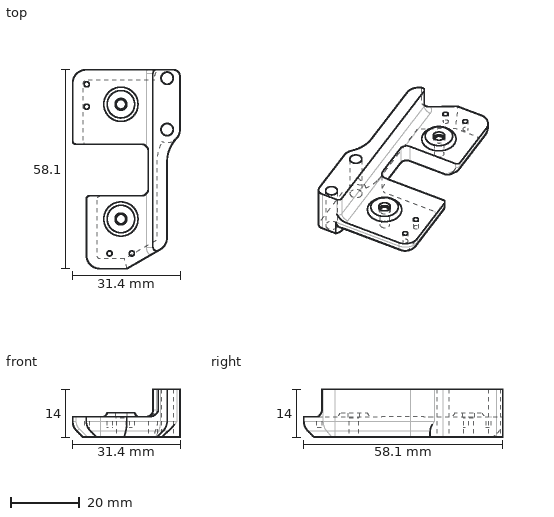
import cadquery as cq
import math

width = 31.35
length = 58.05
height = 14.0
plate_thickness = 6.0

lower_pad_left = 4.0
gap_bottom = 21.3
gap_top = 36.3
gap_right = 22.05
gap_inner_radius = 2.0
edge_radius = 1.0
corner_radius = 4.0
slant_start = 15.85
slant_angle = math.radians(30)
rail_right = 27.6
lug_corner_radius = 2.0
lug_radius = width - rail_right
neck_radius = 10.0

wall_left = 23.45
wall_end = 5.3
root_radius = 2.0

bevel = 3.0
bevel_blend_radius = 4.0
cutter_margin = 0.6
tolerance = 0.05

boss_x = 14.1
boss_ys = (14.5, 47.95)
boss_base_diameter = 10.0
boss_flank_radius = 2.0
boss_top_diameter = 8.0
boss_height = 1.15
bore_diameter = 2.8
counterbore_diameter = 3.4
counterbore_depth = 1.15
pin_diameter = 1.5
pin_depth = 3.0
pin_points = [(4.1, 53.75), (4.1, 47.25), (10.8, 4.45), (17.3, 4.45)]
mount_diameter = 3.5
lug_center = (rail_right, 40.6)
mount_points = [lug_center, (rail_right, 55.55)]


def on_circle(center, radius, angle):
    return (center[0] + radius * math.cos(angle), center[1] + radius * math.sin(angle))


neck_drop = math.sqrt((neck_radius + lug_radius) ** 2 - neck_radius**2)
neck_center = (rail_right + neck_radius, lug_center[1] - neck_drop)
lug_end_angle = -math.asin(neck_drop / (neck_radius + lug_radius))
lug_arc_end = on_circle(lug_center, lug_radius, lug_end_angle)
lug_arc_middle = on_circle(lug_center, lug_radius, lug_end_angle / 2)
neck_start = (rail_right, neck_center[1])
neck_middle = on_circle(neck_center, neck_radius, math.pi + lug_end_angle / 2)

slant_rise = (rail_right - slant_start) * math.tan(slant_angle)
slant_tangent = corner_radius * math.tan((math.pi / 2 - slant_angle) / 2)
slant_arc_start = (
    rail_right - slant_tangent * math.cos(slant_angle),
    slant_rise - slant_tangent * math.sin(slant_angle),
)
slant_arc_center = (rail_right - corner_radius, slant_rise + slant_tangent)
slant_arc_middle = on_circle(slant_arc_center, corner_radius, (slant_angle - math.pi / 2) / 2)
slant_arc_end = (rail_right, slant_arc_center[1])

upper_arc_center = (corner_radius, length - corner_radius)
upper_arc_middle = on_circle(upper_arc_center, corner_radius, 3 * math.pi / 4)
lower_arc_center = (lower_pad_left + corner_radius, corner_radius)
lower_arc_middle = on_circle(lower_arc_center, corner_radius, 5 * math.pi / 4)
lug_corner_center = (width - lug_corner_radius, length - lug_corner_radius)
lug_corner_middle = on_circle(lug_corner_center, lug_corner_radius, math.pi / 4)


def upper_rim():
    """Outer edge from the gap, round the upper left corner, to the lug corner."""
    return (
        cq.Workplane("XY")
        .moveTo(0, gap_top)
        .lineTo(0, upper_arc_center[1])
        .threePointArc(upper_arc_middle, (corner_radius, length))
        .lineTo(lug_corner_center[0], length)
    )


def lower_rim():
    """Outer edge from the gap, round the lower pad and up the rail, to the lug."""
    return (
        cq.Workplane("XY")
        .moveTo(lower_pad_left, gap_bottom)
        .lineTo(lower_pad_left, corner_radius)
        .threePointArc(lower_arc_middle, (lower_arc_center[0], 0))
        .lineTo(slant_start, 0)
        .lineTo(*slant_arc_start)
        .threePointArc(slant_arc_middle, slant_arc_end)
        .lineTo(*neck_start)
        .threePointArc(neck_middle, lug_arc_end)
    )


def outline_block(block_height):
    """Full plan outline, with the gap corners still sharp."""
    return (
        lower_rim()
        .threePointArc(lug_arc_middle, (width, lug_center[1]))
        .lineTo(width, lug_corner_center[1])
        .threePointArc(lug_corner_middle, (lug_corner_center[0], length))
        .lineTo(corner_radius, length)
        .threePointArc(upper_arc_middle, (0, upper_arc_center[1]))
        .lineTo(0, gap_top)
        .lineTo(gap_right, gap_top)
        .lineTo(gap_right, gap_bottom)
        .close()
        .extrude(block_height)
    )


def bevel_cutter(rim, start):
    """45 degree bevel blended into the side by an arc, swept along a rim."""
    blend_tangent = bevel_blend_radius * math.tan(math.pi / 8)
    blend_top = bevel + blend_tangent
    blend_run = bevel_blend_radius * (1 - math.cos(math.pi / 4))
    blend_middle = on_circle((bevel_blend_radius, blend_top), bevel_blend_radius, 9 * math.pi / 8)
    plane = cq.Plane(origin=(*start, 0), xDir=(1, 0, 0), normal=(0, -1, 0))
    profile = (
        cq.Workplane(plane)
        .moveTo(0, blend_top)
        .threePointArc(blend_middle, (blend_run, bevel - blend_run))
        .lineTo(bevel + cutter_margin, -cutter_margin)
        .lineTo(-cutter_margin, -cutter_margin)
        .lineTo(-cutter_margin, blend_top)
        .close()
    )
    return profile.sweep(rim, transition="right")


def upright_wall():
    """Wall over the plate with a concave root, trimmed later by the outline."""
    overrun = corner_radius
    wall = (
        cq.Workplane("XY", origin=(0, 0, plate_thickness))
        .moveTo(wall_left, wall_end)
        .lineTo(width + overrun, wall_end)
        .lineTo(width + overrun, length)
        .lineTo(wall_left, length)
        .close()
        .extrude(height - plate_thickness)
        .edges("|Z and <X")
        .fillet(edge_radius)
    )
    floor = cq.Workplane("XY").box(
        width + 2 * overrun, length + 2 * overrun, plate_thickness, centered=False
    ).translate((0, -overrun, 0))
    root = cq.selectors.BoxSelector(
        (wall_left - edge_radius, wall_end - edge_radius, plate_thickness - edge_radius),
        (width, length + edge_radius, plate_thickness + edge_radius),
    )
    return floor.union(wall).edges(root).fillet(root_radius)


def boss(y):
    """Raised round seat with a slightly hollow conical flank."""
    base_radius = boss_base_diameter / 2
    top_radius = boss_top_diameter / 2
    flank_top = (top_radius, boss_height)
    return (
        cq.Workplane("XZ", origin=(boss_x, y, plate_thickness))
        .lineTo(base_radius, 0)
        .radiusArc(flank_top, boss_flank_radius)
        .lineTo(0, boss_height)
        .close()
        .revolve(360, (0, 0), (0, 1))
    )


def boss_bore(y):
    """Through bore with a counterbore whose floor is a 45 degree cone."""
    bore_radius = bore_diameter / 2
    counterbore_radius = counterbore_diameter / 2
    cone_top = plate_thickness + boss_height - counterbore_depth
    return (
        cq.Workplane("XZ", origin=(boss_x, y, 0))
        .lineTo(bore_radius, 0)
        .lineTo(bore_radius, cone_top - (counterbore_radius - bore_radius))
        .lineTo(counterbore_radius, cone_top)
        .lineTo(counterbore_radius, plate_thickness + boss_height)
        .lineTo(0, plate_thickness + boss_height)
        .close()
        .revolve(360, (0, 0), (0, 1))
    )


def outer_gap_edges(x, y):
    """Selector for the bevelled profile between one gap wall and the left side at (x, y)."""
    return cq.selectors.BoxSelector(
        (x - tolerance, y - tolerance, tolerance),
        (x + bevel, y + tolerance, plate_thickness - tolerance),
    )


def holes(points, diameter, bottom, top):
    """Upright cylinders between two levels."""
    return (
        cq.Workplane("XY", origin=(0, 0, bottom))
        .pushPoints(points)
        .circle(diameter / 2)
        .extrude(top - bottom)
    )


block = outline_block(height).intersect(upright_wall())
for gap_y in (gap_bottom, gap_top):
    inner_corner = cq.selectors.BoxSelector(
        (gap_right - tolerance, gap_y - tolerance, 0),
        (gap_right + tolerance, gap_y + tolerance, height),
    )
    block = block.edges(inner_corner).fillet(gap_inner_radius)

columns = block.intersect(holes(mount_points, 2 * lug_radius, 0, plate_thickness))
body = block.cut(bevel_cutter(upper_rim(), (0, gap_top)))
body = body.cut(bevel_cutter(lower_rim(), (lower_pad_left, gap_bottom)))
body = body.edges(outer_gap_edges(0, gap_top)).fillet(edge_radius)
body = body.edges(outer_gap_edges(lower_pad_left, gap_bottom)).fillet(edge_radius)
body = body.union(columns)

for boss_y in boss_ys:
    body = body.union(boss(boss_y)).cut(boss_bore(boss_y))
body = body.cut(holes(pin_points, pin_diameter, plate_thickness - pin_depth, plate_thickness))
body = body.cut(holes(mount_points, mount_diameter, 0, height))

result = body